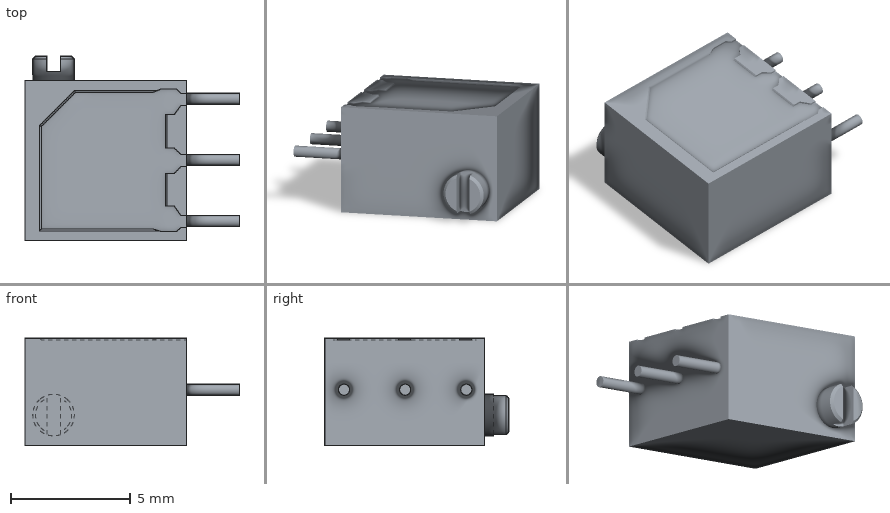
import cadquery as cq
import math

total_length = 8.98
body_length = 6.77
body_width = 6.7
body_height = 4.5

screw_diameter = 1.74
screw_height = 7.72 - body_width
screw_x = 1.19
screw_z = 1.275
screw_chamfer = 0.12
slot_width = 0.57
slot_depth = 0.65

pin_diameter = 0.47
pin_pitch = 2.56
first_pin_y = 0.82
pin_z = 2.335
pin_positions = [first_pin_y + i * pin_pitch for i in range(3)]

recess_depth = 0.07
wall_slope_run = 0.08
recess_left = 0.6
recess_front = 0.4
recess_back = 6.28
recess_corner_cut = 1.47

lobe_start_x = 5.35
lobe_full_x = 5.69
lobe_end_x = 6.34
lobe_front = 0.38
lobe_back = 6.34
channel_x = 6.53
channel_half_width = 0.25
first_channel_y = 0.79
channel_pitch = 2.56
channel_positions = [first_channel_y + i * channel_pitch for i in range(3)]

island_left = 5.88
island_shoulder_x = 6.25
island_slope_run = 0.05
island_spans = [(1.44, 2.8), (3.87, 5.27)]

recess_floor = body_height - recess_depth


def make_pin(y):
    return (
        cq.Workplane("YZ", origin=(body_length, y, pin_z))
        .circle(pin_diameter / 2)
        .extrude(total_length - body_length)
    )


def make_screw():
    screw = (
        cq.Workplane("XZ", origin=(screw_x, body_width, screw_z))
        .circle(screw_diameter / 2)
        .extrude(-screw_height)
        .faces(">Y")
        .chamfer(screw_chamfer)
    )
    slot = cq.Workplane("XY").box(slot_width, 2 * slot_depth, 2 * screw_diameter)
    return screw.cut(slot.translate((screw_x, body_width + screw_height, screw_z)))


def sloped_recess_outline(workplane, inset):
    """Outline of the recess with its three plain sides and corner cut moved in by inset."""
    left = recess_left + inset
    front = recess_front + inset
    back = recess_back - inset
    cut_x = recess_left + recess_corner_cut + inset * math.tan(math.pi / 8)
    return workplane.polyline([
        (left, front),
        (lobe_full_x, front),
        (lobe_full_x, back),
        (cut_x, back),
        (left, back - (cut_x - left)),
    ]).close()


def make_sloped_recess():
    bottom = sloped_recess_outline(cq.Workplane("XY", origin=(0, 0, recess_floor)), wall_slope_run)
    rim = sloped_recess_outline(bottom.workplane(offset=recess_depth), 0)
    return rim.loft(ruled=True, combine=True)


def make_island(front, back, front_channel_y, back_channel_y):
    channel_front = front_channel_y + channel_half_width
    channel_back = back_channel_y - channel_half_width
    island = (
        cq.Workplane("XY", origin=(0, 0, recess_floor))
        .polyline([
            (island_left, front),
            (island_shoulder_x, front),
            (channel_x, channel_front),
            (body_length, channel_front),
            (body_length, channel_back),
            (channel_x, channel_back),
            (island_shoulder_x, back),
            (island_left, back),
        ])
        .close()
        .extrude(recess_depth)
    )
    slope = (
        cq.Workplane("XZ", origin=(island_left, 0, recess_floor))
        .polyline([(0, 0), (island_slope_run, recess_depth), (0, recess_depth)])
        .close()
        .extrude(-body_width)
    )
    return island.cut(slope)


def make_lobed_recess():
    recess = (
        cq.Workplane("XY", origin=(0, 0, recess_floor))
        .polyline([
            (lobe_start_x, recess_front + wall_slope_run),
            (lobe_full_x, lobe_front),
            (lobe_end_x, lobe_front),
            (channel_x, channel_positions[0] - channel_half_width),
            (body_length, channel_positions[0] - channel_half_width),
            (body_length, channel_positions[-1] + channel_half_width),
            (channel_x, channel_positions[-1] + channel_half_width),
            (lobe_end_x, lobe_back),
            (lobe_full_x, lobe_back),
            (lobe_start_x, recess_back - wall_slope_run),
        ])
        .close()
        .extrude(recess_depth)
    )
    channel_pairs = zip(channel_positions, channel_positions[1:])
    for (front, back), (front_y, back_y) in zip(island_spans, channel_pairs):
        recess = recess.cut(make_island(front, back, front_y, back_y))
    return recess


body = cq.Workplane("XY").box(body_length, body_width, body_height, centered=False)
body = body.cut(make_sloped_recess()).cut(make_lobed_recess())

result = body.union(make_screw())
for pin_y in pin_positions:
    result = result.union(make_pin(pin_y))